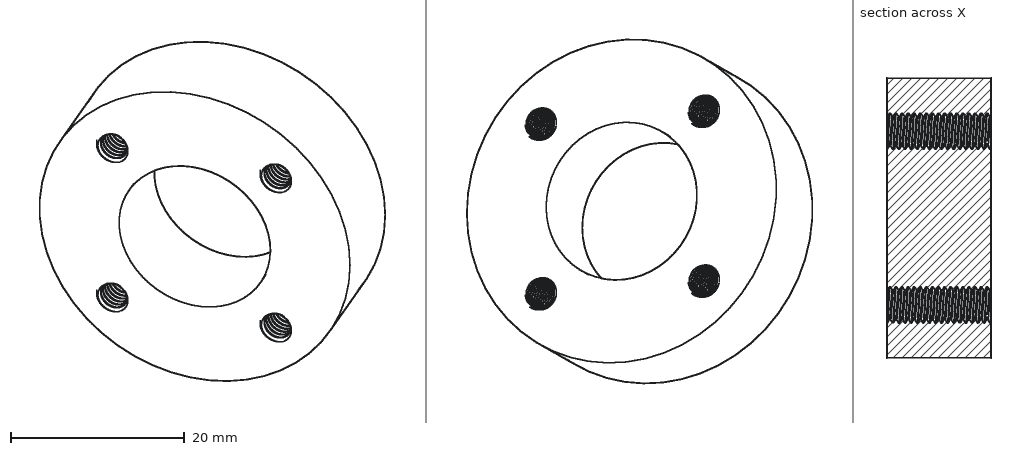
import cadquery as cq
import math

OUTER_DIAMETER = 38.0
BORE_DIAMETER = 18.5
THICKNESS = 12.0

HOLE_SPACING = 20.0
THREAD_PITCH = 0.7
THREAD_MINOR_RADIUS = 3.33 / 2
THREAD_MAJOR_RADIUS = 4.11 / 2
THREAD_FLANK_ANGLE = 30.0
THREAD_ROOT_FLAT = THREAD_PITCH / 8
THREAD_START_ANGLE = 90.0

GROOVE_OVERLAP = 0.05
GROOVE_TURNS = math.ceil(THICKNESS / THREAD_PITCH) + 2


def make_ring():
    """Plain disc with the central bore, extruded along Y."""
    return (
        cq.Workplane("XZ", origin=(0, THICKNESS / 2, 0))
        .circle(OUTER_DIAMETER / 2)
        .circle(BORE_DIAMETER / 2)
        .extrude(THICKNESS)
        .val()
    )


def groove_profile():
    """Corners (radius, height) of the trapezoidal groove section, from lower to upper mouth."""
    mouth_radius = THREAD_MINOR_RADIUS - GROOVE_OVERLAP
    flank_depth = THREAD_MAJOR_RADIUS - mouth_radius
    root_half_width = THREAD_ROOT_FLAT / 2
    mouth_half_width = root_half_width + flank_depth * math.tan(math.radians(THREAD_FLANK_ANGLE))
    return [
        (mouth_radius, -mouth_half_width),
        (THREAD_MAJOR_RADIUS, -root_half_width),
        (THREAD_MAJOR_RADIUS, root_half_width),
        (mouth_radius, mouth_half_width),
    ]


def make_thread_groove():
    """Helical groove along Z: ruled faces between the helices of the profile corners."""
    profile = groove_profile()
    groove_length = GROOVE_TURNS * THREAD_PITCH

    helices = []
    for radius, height in profile:
        helix = cq.Wire.makeHelix(THREAD_PITCH, groove_length, radius)
        helices.append(helix.translate(cq.Vector(0, 0, height)).Edges()[0])

    faces = []
    for index, helix in enumerate(helices):
        faces.append(cq.Face.makeRuledSurface(helices[index - 1], helix))
    for end_height in (0, groove_length):
        corners = [cq.Vector(radius, 0, height + end_height) for radius, height in profile]
        faces.append(cq.Face.makeFromWires(cq.Wire.makePolygon(corners, close=True)))

    groove = cq.Solid.makeSolid(cq.Shell.makeShell(faces))
    return groove.translate(cq.Vector(0, 0, -THICKNESS / 2 - THREAD_PITCH))


def along_y(body):
    """Turn a body built along Z so that its axis points along +Y."""
    origin = cq.Vector(0, 0, 0)
    started = body.rotate(origin, cq.Vector(0, 0, 1), THREAD_START_ANGLE)
    return started.rotate(origin, cq.Vector(1, 0, 0), -90)


def cut_threaded_holes(body):
    """Cut each thread groove into the ring, then drill the hole to the minor radius."""
    groove = along_y(make_thread_groove())
    drill = along_y(cq.Solid.makeCylinder(THREAD_MINOR_RADIUS, THICKNESS, cq.Vector(0, 0, -THICKNESS / 2)))
    half_spacing = HOLE_SPACING / 2
    for x in (-half_spacing, half_spacing):
        for z in (-half_spacing, half_spacing):
            position = cq.Vector(x, 0, z)
            body = body.cut(groove.translate(position))
            body = body.cut(drill.translate(position))
    return body


result = cq.Workplane(obj=cut_threaded_holes(make_ring()).Solids()[0])